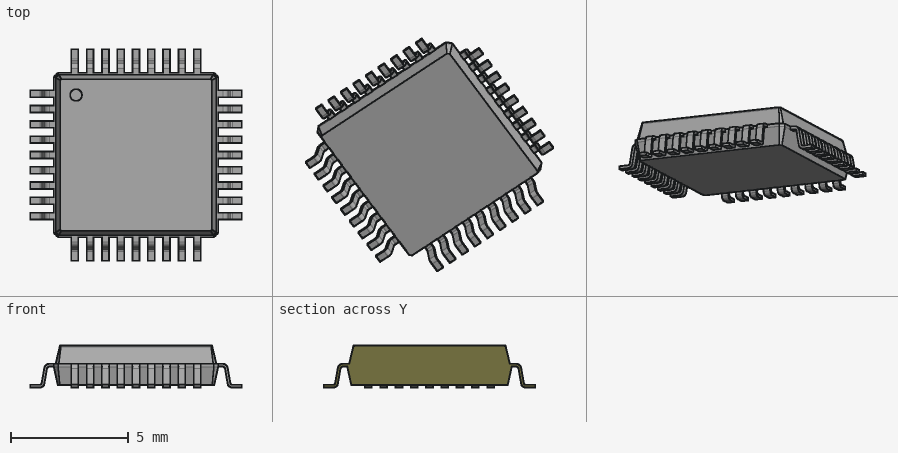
import cadquery as cq
import math

span = 9.0
height = 1.8

flange_width = 7.0
flange_corner = 0.19
upper_base_width = 6.84
upper_base_corner = 0.135
shoulder_width = 6.49
shoulder_corner = 0.05
top_width = 6.44
top_corner = 0.04
bottom_width = 6.66
bottom_corner = 0.09
body_bottom = 0.11
top_bevel = 0.05

leads_per_side = 9
lead_row_length = 5.2
lead_width = 0.31
lead_thickness = 0.13
lead_top = 1.02
flat_start = 0.82
leg_angle = 80.0
knee_radius = 0.1
heel_radius = 0.07
lead_overlap = 0.09

mark_diameter = 0.5
mark_offset = 2.55
mark_depth = 0.01

lead_pitch = lead_row_length / (leads_per_side - 1)
flange_bottom = lead_top - lead_thickness
shoulder_height = height - top_bevel


def cut_square(width, corner, z):
    """Square outline with its four corners cut at 45 degrees, at height z."""
    half = width / 2
    inner = half - corner
    points = [
        (inner, half),
        (half, inner),
        (half, -inner),
        (inner, -half),
        (-inner, -half),
        (-half, -inner),
        (-half, inner),
        (-inner, half),
    ]
    return cq.Wire.makePolygon([cq.Vector(x, y, z) for x, y in points], close=True)


def tapered_block(lower, upper):
    """Straight-sided solid between two cut squares."""
    return cq.Workplane(cq.Solid.makeLoft([cut_square(*lower), cut_square(*upper)], True))


def make_body():
    bottom = (bottom_width, bottom_corner, body_bottom)
    flange_low = (flange_width, flange_corner, flange_bottom)
    flange_high = (flange_width, flange_corner, lead_top)
    upper_base = (upper_base_width, upper_base_corner, lead_top)
    shoulder = (shoulder_width, shoulder_corner, shoulder_height)
    top = (top_width, top_corner, height)
    body = tapered_block(bottom, flange_low)
    body = body.union(tapered_block(flange_low, flange_high))
    body = body.union(tapered_block(upper_base, shoulder))
    return body.union(tapered_block(shoulder, top))


def bend_point(centre, radius, degrees):
    """Point of a lead bend at an angle from +X."""
    angle = math.radians(degrees)
    return (centre[0] + radius * math.cos(angle), centre[1] + radius * math.sin(angle))


def make_lead():
    """Gull-wing lead on the -X side, centred on Y = 0."""
    slope = math.radians(leg_angle)
    knee_outer = knee_radius + lead_thickness
    heel_outer = heel_radius + lead_thickness
    bend_sum = knee_radius + heel_outer
    tip = -span / 2
    root = -flange_width / 2 + lead_overlap

    leg_rise = flange_bottom - bend_sum * (1 - math.cos(slope))
    run = bend_sum * math.sin(slope) + leg_rise / math.tan(slope)
    knee_centre = (tip + flat_start, lead_top - knee_outer)
    heel_centre = (knee_centre[0] - run, heel_outer)

    heel_end = leg_angle - 90
    heel_mid = leg_angle / 2 - 90
    knee_end = leg_angle + 90
    knee_mid = leg_angle / 2 + 90

    profile = (
        cq.Workplane("XZ")
        .moveTo(tip, 0)
        .lineTo(heel_centre[0], 0)
        .threePointArc(
            bend_point(heel_centre, heel_outer, heel_mid),
            bend_point(heel_centre, heel_outer, heel_end),
        )
        .lineTo(*bend_point(knee_centre, knee_radius, knee_end))
        .threePointArc(
            bend_point(knee_centre, knee_radius, knee_mid),
            (knee_centre[0], flange_bottom),
        )
        .lineTo(root, flange_bottom)
        .lineTo(root, lead_top)
        .lineTo(knee_centre[0], lead_top)
        .threePointArc(
            bend_point(knee_centre, knee_outer, knee_mid),
            bend_point(knee_centre, knee_outer, knee_end),
        )
        .lineTo(*bend_point(heel_centre, heel_radius, heel_end))
        .threePointArc(
            bend_point(heel_centre, heel_radius, heel_mid),
            (heel_centre[0], lead_thickness),
        )
        .lineTo(tip, lead_thickness)
        .close()
    )
    return profile.extrude(lead_width / 2, both=True)


def make_all_leads():
    lead = make_lead().val()
    first = -lead_row_length / 2
    leads = []
    for side in range(4):
        for index in range(leads_per_side):
            placed = lead.translate(cq.Vector(0, first + index * lead_pitch, 0))
            leads.append(placed.rotate(cq.Vector(0, 0, 0), cq.Vector(0, 0, 1), 90 * side))
    return cq.Workplane(cq.Compound.makeCompound(leads))


def make_pin_mark():
    """Shallow round recess in the top face near the -X, +Y corner."""
    return (
        cq.Workplane("XY", origin=(-mark_offset, mark_offset, height - mark_depth))
        .circle(mark_diameter / 2)
        .extrude(mark_depth)
    )


result = make_body().union(make_all_leads()).cut(make_pin_mark()).clean()